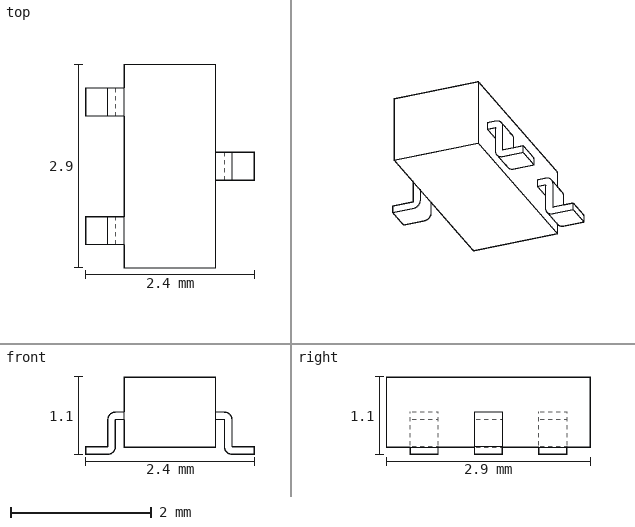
import cadquery as cq

body_length = 2.9
body_width = 1.3
body_height = 1.0
standoff = 0.1
span = 2.4

lead_thickness = 0.11
lead_width = 0.4
lead_top = 0.603
foot_length = 0.315
bend_radius = lead_thickness
lead_pitch = 1.83


def make_body():
    """Rectangular package body, raised above the seating plane."""
    return (
        cq.Workplane("XY")
        .box(body_width, body_length, body_height, centered=(True, True, False))
        .translate((0, 0, standoff))
    )


def make_lead(y_center):
    """One lead on the -X side, from its toe up to the body wall."""
    toe_x = -span / 2
    wall_x = -body_width / 2
    riser_outer_x = toe_x + foot_length
    riser_inner_x = riser_outer_x + lead_thickness
    lead = (
        cq.Workplane("XZ", origin=(0, y_center + lead_width / 2, 0))
        .moveTo(toe_x, 0)
        .lineTo(riser_inner_x - bend_radius, 0)
        .radiusArc((riser_inner_x, bend_radius), -bend_radius)
        .lineTo(riser_inner_x, lead_top - lead_thickness)
        .lineTo(wall_x, lead_top - lead_thickness)
        .lineTo(wall_x, lead_top)
        .lineTo(riser_outer_x + bend_radius, lead_top)
        .radiusArc((riser_outer_x, lead_top - bend_radius), -bend_radius)
        .lineTo(riser_outer_x, lead_thickness)
        .lineTo(toe_x, lead_thickness)
        .close()
        .extrude(lead_width)
    )
    return lead


body = make_body()
leads = [make_lead(side * lead_pitch / 2) for side in (-1, 1)]

leads.append(make_lead(0).rotate((0, 0, 0), (0, 0, 1), 180))

result = cq.Compound.makeCompound([body.val(), *[lead.val() for lead in leads]])